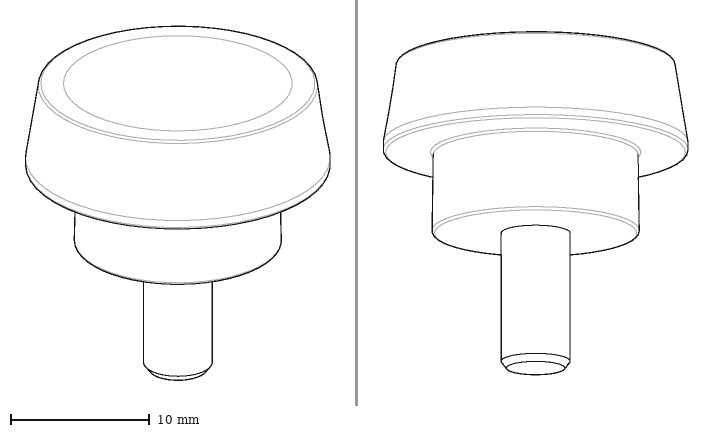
import cadquery as cq

total_height = 24.0
stem_length = 10.0
collar_height = 6.0
band_height = 0.75
dome_height = 1.4

stem_radius = 5.0 / 2
collar_bottom_radius = 7.5
collar_top_radius = 7.4
head_radius = 22.0 / 2
head_top_radius = 10.05
dome_radius = 8.25

tip_chamfer_height = 0.5
tip_chamfer_width = 0.38
edge_fillet = 0.2

head_bottom = stem_length + collar_height
band_top = head_bottom + band_height
head_top = total_height - dome_height


def make_stem():
    """Round stem with a chamfered tip, ending at the collar."""
    return (
        cq.Workplane("XZ")
        .lineTo(stem_radius - tip_chamfer_width, 0)
        .lineTo(stem_radius, tip_chamfer_height)
        .lineTo(stem_radius, stem_length)
        .lineTo(0, stem_length)
        .close()
        .revolve(360, (0, 0, 0), (0, 1, 0))
    )


def make_knob():
    """Tapered collar and head, with every outer and inner corner rounded."""
    body = (
        cq.Workplane("XZ")
        .moveTo(0, stem_length)
        .lineTo(collar_bottom_radius, stem_length)
        .lineTo(collar_top_radius, head_bottom)
        .lineTo(head_radius, head_bottom)
        .lineTo(head_radius, band_top)
        .lineTo(head_top_radius, head_top)
        .lineTo(0, head_top)
        .close()
        .revolve(360, (0, 0, 0), (0, 1, 0))
    )
    return body.faces("|Z").edges("%CIRCLE").fillet(edge_fillet)


def make_dome():
    """Shallow spherical cap on top of the head."""
    sphere_radius = (dome_radius**2 + dome_height**2) / (2 * dome_height)
    sphere = cq.Workplane("XY").sphere(sphere_radius).translate((0, 0, total_height - sphere_radius))
    cap_space = (
        cq.Workplane("XY")
        .workplane(offset=head_top)
        .circle(head_radius)
        .extrude(dome_height)
    )
    return sphere.intersect(cap_space)


result = make_knob().union(make_stem()).union(make_dome())